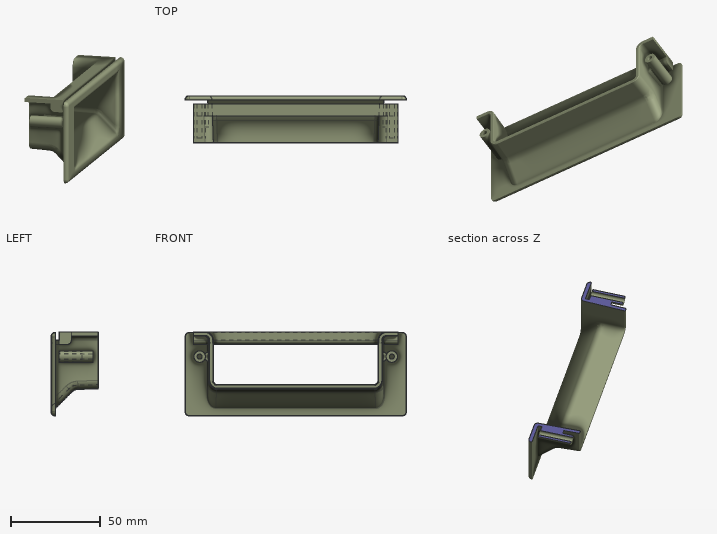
import cadquery as cq
import math

plate_width = 123.0
plate_height = 46.4
plate_thickness = 2.5
plate_corner_radius = 2.5
plate_edge_radius = 2.1

total_height = 46.7
duct_depth = 23.7
duct_half_width = 48.9
duct_draft = math.tan(math.radians(2))
wall = 2.3
neck_top = total_height - 2 * wall
ramp_start = 4.3
ramp_angle = math.radians(45)
ramp_slope = math.tan(ramp_angle)
ramp_length = 10.3
ramp_bend_radius = 4.9
inner_radius = 2.3
outer_radius = inner_radius + wall
neck_fillet = 0.31
rim_chamfer = 0.31

flange_width = 113.9
flange_back = -2.0
bar_depth = 6.8
bar_front = flange_back - bar_depth
bar_height = 7.0
bar_radius = 2.2

boss_x = 53.4
boss_z = 33.0
boss_diameter = 6.4
boss_hole_diameter = 2.8
boss_front = -20.9
web_front = -14.8
web_height_at_boss = 3.5
web_height_at_wall = 6.9

select_gap = 0.1


def box(x_size, y_back, y_front, z_low, z_high):
    """Box centred on x = 0 between the given planes."""
    return (
        cq.Workplane("XY")
        .box(x_size, y_back - y_front, z_high - z_low, centered=(True, False, False))
        .translate((0, y_front, z_low))
    )


def half_width_at(y, inset):
    """Half width of the drafted duct at y, moved inwards by `inset`."""
    return duct_half_width - inset + y * duct_draft


def duct_solid(inset, y_back, corner_radius):
    """Solid from y_back to the duct tip, its sides and floor moved inwards by `inset`."""
    ramp_base = ramp_start + inset / math.cos(ramp_angle)
    floor_start = ramp_start + ramp_length * ramp_slope + inset
    bend_run = (floor_start - ramp_base - ramp_length * duct_draft) / (ramp_slope - duct_draft)
    bend_z = ramp_base + bend_run * ramp_slope
    tip_z = floor_start + (duct_depth - ramp_length) * duct_draft
    side = (
        cq.Workplane("YZ")
        .polyline(
            [
                (y_back, total_height),
                (y_back, ramp_base - y_back * ramp_slope),
                (-bend_run, bend_z),
                (-duct_depth, tip_z),
                (-duct_depth, total_height),
            ]
        )
        .close()
        .extrude(plate_width / 2, both=True)
        .edges(cq.selectors.NearestToPointSelector((0, -bend_run, bend_z)))
        .fillet(ramp_bend_radius)
    )
    back_x = half_width_at(y_back, inset)
    tip_x = half_width_at(-duct_depth, inset)
    plan = (
        cq.Workplane("XY")
        .polyline([(-back_x, y_back), (back_x, y_back), (tip_x, -duct_depth), (-tip_x, -duct_depth)])
        .close()
        .extrude(total_height)
    )
    body = side.intersect(plan)
    floor_edges = cq.selectors.BoxSelector(
        (-plate_width, y_back - select_gap, 0),
        (plate_width, -duct_depth + select_gap, neck_top / 2),
    )
    return body.edges(floor_edges).edges("not |X").fillet(corner_radius)


def cover_plate(opening):
    """Plate pierced by the opening, with its outer and inner rear edges rounded."""
    plate = box(plate_width, plate_thickness, 0, 0, plate_height)
    plate = plate.edges("|Y").fillet(plate_corner_radius).cut(opening)
    return plate.faces(">Y").edges().fillet(plate_edge_radius)


def cross_bar():
    """Bar across the top, with its lower front edge rounded."""
    bar = box(flange_width, flange_back, bar_front, total_height - bar_height, total_height)
    return bar.edges("|X and <Y and <Z").fillet(bar_radius)


def boss_cylinder(diameter):
    """Cylinder on the boss axis, as long as the boss."""
    plane = cq.Workplane("XZ", origin=(boss_x, flange_back, boss_z))
    return plane.circle(diameter / 2).extrude(flange_back - boss_front)


def screw_boss():
    """Boss on the +X side of the duct, drilled through along its length."""
    wall_x = duct_half_width - wall / 2
    flare_x = boss_x - boss_diameter / 2
    web = (
        cq.Workplane("XZ", origin=(0, flange_back, boss_z))
        .polyline(
            [
                (boss_x, -web_height_at_boss / 2),
                (flare_x, -web_height_at_boss / 2),
                (wall_x, -web_height_at_wall / 2),
                (wall_x, web_height_at_wall / 2),
                (flare_x, web_height_at_boss / 2),
                (boss_x, web_height_at_boss / 2),
            ]
        )
        .close()
        .extrude(flange_back - web_front)
    )
    return boss_cylinder(boss_diameter).union(web).cut(boss_cylinder(boss_hole_diameter))


def at_wall_and_height(inset, z):
    """Selector for the long edges of both side walls at height z, forward of the cross bar."""
    y = (bar_front - duct_depth) / 2
    x = half_width_at(y, inset)
    left = cq.selectors.NearestToPointSelector((-x, y, z))
    right = cq.selectors.NearestToPointSelector((x, y, z))
    return left + right


flange_underside = total_height - wall
duct = duct_solid(0, 0, outer_radius)
duct = duct.cut(box(plate_width, 0, flange_back, neck_top, total_height))
duct = duct.union(box(flange_width, flange_back, -duct_depth, flange_underside, total_height))
duct = duct.edges(at_wall_and_height(0, flange_underside)).fillet(inner_radius)

neck_roof = box(plate_width, plate_thickness, flange_back, total_height - bar_height, total_height)
cavity = duct_solid(wall, plate_thickness, inner_radius).cut(neck_roof)
duct = duct.cut(cavity)
duct = duct.edges(at_wall_and_height(wall, total_height)).fillet(outer_radius)
duct = duct.faces("<Y").edges("not(<X or >X)").chamfer(rim_chamfer)
duct = duct.union(cross_bar())

result = cover_plate(cavity).union(duct)
neck_edges = cq.selectors.BoxSelector(
    (-duct_half_width - select_gap, -select_gap, ramp_start - select_gap),
    (duct_half_width + select_gap, select_gap, neck_top + select_gap),
    boundingbox=True,
)
result = result.edges(neck_edges).edges("not >Z").fillet(neck_fillet)
boss = screw_boss()
result = result.union(boss).union(boss.mirror("YZ"))